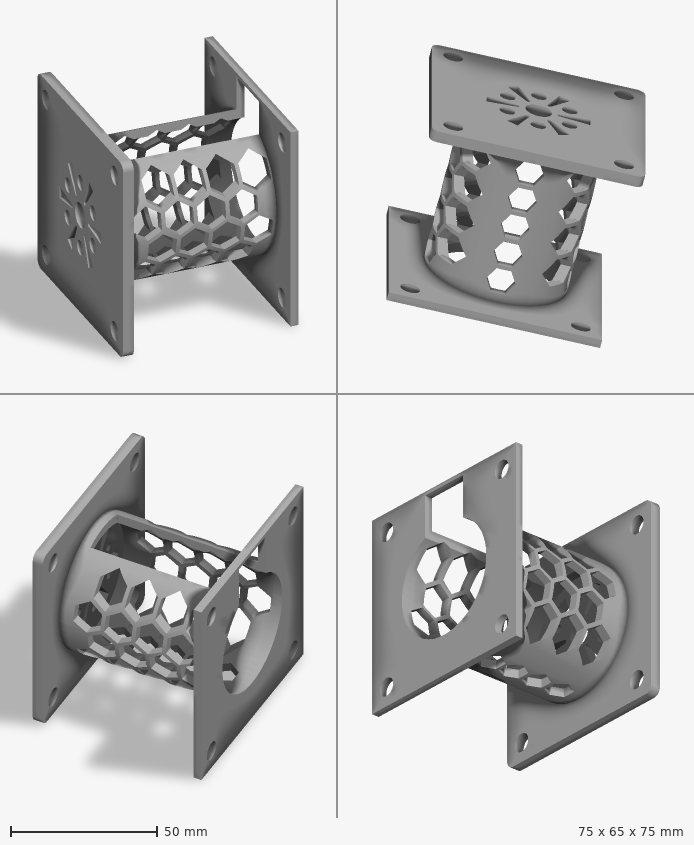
import cadquery as cq
import math


plate_side = 75.0
overall_length = 65.0
flange_thickness = 3.0
cap_thickness = 4.0
cap_corner_radius = 3.0

corner_hole_diameter = 7.0
corner_hole_offset = 30.0

tube_outer_radius = 25.3
tube_inner_radius = 22.0
collar_length = 2.0

window_width = 19.65
window_front_gap = 3.8
window_top_margin = 1.5

shaft_hole_diameter = 9.3
face_pattern_count = 6
face_pattern_twist = -0.5
screw_circle_radius = 12.6
screw_hole_diameter = 3.0
screw_head_diameter = 5.5
screw_seat_thickness = 1.0
vent_inner_radius = 6.75
vent_outer_radius = 18.2
vent_outer_width = 4.4
vent_tip_radius = 0.75

side_hex_radius = 6.0
side_hex_gap = 1.5
side_hexes_per_row = 4
upper_hex_shift = -0.3
lower_hex_shift = -0.7
upper_hex_tilt = -0.9

floor_hex_radius = 5.1
floor_hex_pitch = 10.3
floor_hex_count = 5
floor_hex_middle_y = 1.05

back_y = overall_length / 2
front_y = -overall_length / 2
flange_front_y = back_y - flange_thickness
cap_back_y = front_y + cap_thickness
collar_end_y = cap_back_y + collar_length
window_front_y = cap_back_y + window_front_gap
side_hex_pitch = side_hex_radius * math.sqrt(3) + side_hex_gap
side_row_spacing = side_hex_pitch * math.sqrt(3) / 2
face_pattern_step = 360 / face_pattern_count


def plane_at(y):
    """XZ workplane at the given Y; extruding from it goes towards -Y."""
    return cq.Workplane("XZ", origin=(0, y, 0))


def cylinder(radius, start_y, end_y):
    """Cylinder about the tube axis between two Y positions."""
    return plane_at(end_y).circle(radius).extrude(end_y - start_y)


def turned_about_axis(body, angle):
    """Body turned about the tube axis, from +X towards +Z for a positive angle."""
    return body.rotate((0, 0, 0), (0, -1, 0), angle)


def row_positions(middle, pitch, count):
    """Evenly spaced positions centred on the middle."""
    first = middle - (count - 1) / 2 * pitch
    return [first + i * pitch for i in range(count)]


def square_plate(start_y, end_y):
    """Square plate with four corner holes."""
    thickness = end_y - start_y
    spacing = 2 * corner_hole_offset
    plate = plane_at(end_y).rect(plate_side, plate_side).extrude(thickness)
    holes = (
        plane_at(end_y)
        .rect(spacing, spacing, forConstruction=True)
        .vertices()
        .circle(corner_hole_diameter / 2)
        .extrude(thickness)
    )
    return plate.cut(holes)


def side_hex_row(middle_y, z):
    """Row of hexagonal prisms along X, each with corners at top and bottom."""
    upright = cq.Workplane(cq.Plane(origin=(0, 0, 0), xDir=(0, 0, 1), normal=(-1, 0, 0)))
    centres = [(z, y) for y in row_positions(middle_y, side_hex_pitch, side_hexes_per_row)]
    return upright.pushPoints(centres).polygon(6, 2 * side_hex_radius).extrude(plate_side / 2, both=True)


def side_hexes():
    """Two staggered rows above the joint plane, slightly tilted, and two below it."""
    near_z = side_row_spacing / 2
    far_z = near_z + side_row_spacing
    stagger = side_hex_pitch / 2
    upper_near = side_hex_row(upper_hex_shift, near_z)
    upper_far = side_hex_row(upper_hex_shift + stagger, far_z)
    lower_near = side_hex_row(lower_hex_shift + stagger, -near_z)
    lower_far = side_hex_row(lower_hex_shift, -far_z)
    upper_rows = [row.rotate((0, 0, 0), (1, 0, 0), upper_hex_tilt) for row in (upper_near, upper_far)]
    return upper_rows + [lower_near, lower_far]


def floor_hexes():
    """Row of hexagonal prisms that pierce the bottom of the tube."""
    centres = [(0, y) for y in row_positions(floor_hex_middle_y, floor_hex_pitch, floor_hex_count)]
    return cq.Workplane("XY").pushPoints(centres).polygon(6, 2 * floor_hex_radius).extrude(-plate_side / 2)


def window():
    """Opening along the top of the tube that runs out through the flange."""
    height = plate_side / 2 - window_top_margin
    depth = back_y - window_front_y
    middle_y = (back_y + window_front_y) / 2
    return cq.Workplane("XY", origin=(0, middle_y, 0)).rect(window_width, depth).extrude(height)


def whole_housing():
    tube = cylinder(tube_outer_radius, collar_end_y, flange_front_y)
    bore = cylinder(tube_inner_radius, collar_end_y, back_y)
    housing = square_plate(flange_front_y, back_y).union(tube).cut(bore)
    for opening in side_hexes() + [floor_hexes(), window()]:
        housing = housing.cut(opening)
    return housing


def vent():
    """Tapered slot along +X with a rounded inner tip."""
    tip_centre_x = vent_inner_radius + vent_tip_radius
    half_width = vent_outer_width / 2
    return (
        plane_at(cap_back_y)
        .moveTo(tip_centre_x, vent_tip_radius)
        .threePointArc((vent_inner_radius, 0), (tip_centre_x, -vent_tip_radius))
        .lineTo(vent_outer_radius, -half_width)
        .lineTo(vent_outer_radius, half_width)
        .close()
        .extrude(cap_thickness)
    )


def screw_hole():
    """Counterbored hole on +X, with its head recess in the front face."""
    shank = cylinder(screw_hole_diameter / 2, front_y, cap_back_y)
    head = cylinder(screw_head_diameter / 2, front_y, cap_back_y - screw_seat_thickness)
    return shank.union(head).translate((screw_circle_radius, 0, 0))


def whole_cap():
    plate = square_plate(front_y, cap_back_y).edges("|Y").edges("<X or >X").fillet(cap_corner_radius)
    collar = cylinder(tube_outer_radius, cap_back_y, collar_end_y)
    collar = collar.cut(cylinder(tube_inner_radius, cap_back_y, collar_end_y))
    cap = plate.union(collar).cut(cylinder(shaft_hole_diameter / 2, front_y, cap_back_y))
    for i in range(face_pattern_count):
        vent_angle = face_pattern_twist + i * face_pattern_step
        screw_angle = vent_angle + face_pattern_step / 2
        cap = cap.cut(turned_about_axis(vent(), vent_angle))
        cap = cap.cut(turned_about_axis(screw_hole(), screw_angle))
    return cap


def upper_half(body):
    space = cq.Workplane("XY").rect(plate_side, plate_side).extrude(plate_side / 2)
    return body.intersect(space).solids()


def lower_half(body):
    space = cq.Workplane("XY").rect(plate_side, plate_side).extrude(-plate_side / 2)
    return body.intersect(space).solids()


housing = whole_housing()
cap = whole_cap()

upper_housing = upper_half(housing)
lower_housing = lower_half(housing)
upper_cap = upper_half(cap)
lower_cap = lower_half(cap)

result = cq.Compound.makeCompound(
    [upper_housing.val(), lower_housing.val(), upper_cap.val(), lower_cap.val()]
)